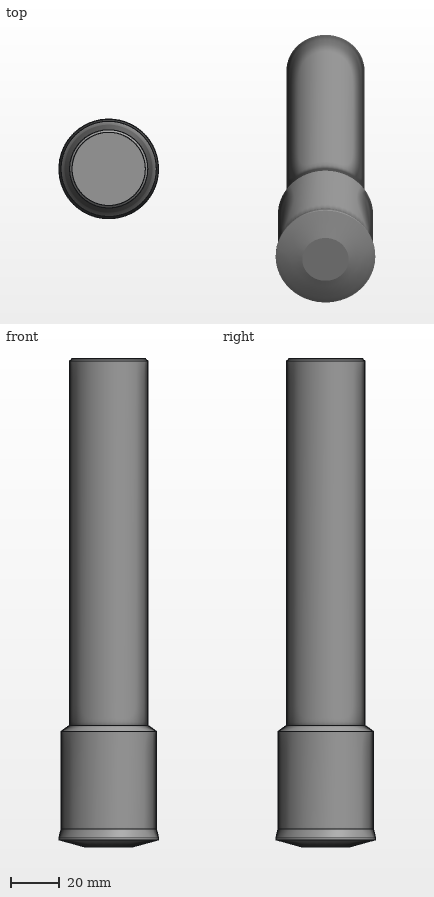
import cadquery as cq

total_height = 200.0
joint_height = 7.4

shank_radius = 16.0
shank_chamfer = 1.0
neck_radius = 19.5
neck_top_height = 49.9
neck_cone_height = 2.5

rim_radius = 40.81 / 2
rim_top_height = 3.9
rim_bottom_height = 3.0
tip_radius = 9.5


def make_shank():
    """Revolve the shank and its neck about Z."""
    return (
        cq.Workplane("XZ")
        .moveTo(0, joint_height)
        .lineTo(neck_radius, joint_height)
        .lineTo(neck_radius, neck_top_height - neck_cone_height)
        .lineTo(shank_radius, neck_top_height)
        .lineTo(shank_radius, total_height - shank_chamfer)
        .lineTo(shank_radius - shank_chamfer, total_height)
        .lineTo(0, total_height)
        .close()
        .revolve(360, (0, 0, 0), (0, 1, 0))
    )


def make_head():
    """Revolve the head, from its flat tip up to the flat joint face, about Z."""
    return (
        cq.Workplane("XZ")
        .lineTo(tip_radius, 0)
        .lineTo(rim_radius, rim_bottom_height)
        .lineTo(rim_radius, rim_top_height)
        .lineTo(neck_radius, joint_height)
        .lineTo(0, joint_height)
        .close()
        .revolve(360, (0, 0, 0), (0, 1, 0))
    )


shank = make_shank()
head = make_head()
result = cq.Compound.makeCompound([shank.val(), head.val()])